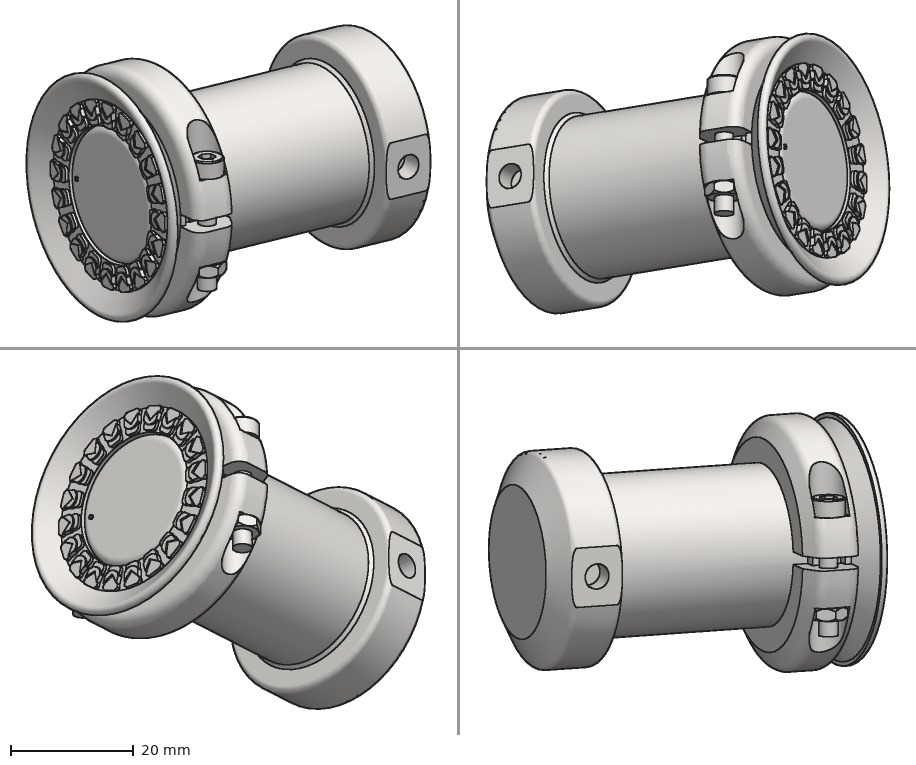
import cadquery as cq
import math

LENGTH = 56.85
BEVEL_ANGLE = math.radians(60)

TUBE_R = 26.85 / 2
NECK_R = 28.0 / 2
NECK_LENGTH = 0.6

RIM_R = 20.7
RIM_ROUND = 0.85
RIM_BACK = 1.2
DISH_ANGLE = math.radians(35)
FLARE_REACH = 21.15
FLOOR_R = 16.0
FLOOR_Y = 2.45
HUB_R = 23.2 / 2
HUB_ROUND = 1.35
DOT_D = 0.8
DOT_X = -9.5
DOT_DEPTH = 0.15

CLAMP_R = 21.0
CLAMP_FRONT = 4.85
CLAMP_BACK = 13.85
CLAMP_ROUND = 2.0
CLAMP_BEVEL_Y = 10.75
SPLIT_WIDTH = 2.1

LIP_R = FLARE_REACH - CLAMP_FRONT
LIP_END = 5.9
SEAM_END = 6.3
SEAL_R = 30.5 / 2
SEAL_END = 7.3
FLANGE_R = 31.0 / 2
FLANGE_END = 11.3

BOLT_X = 17.45
BOLT_Y = 9.3
SEAT_Z = 7.5
HEAD_D = 5.5
HEAD_HEIGHT = 2.95
HEAD_CHAMFER = 0.2
SOCKET_FLATS = 2.5
SOCKET_DEPTH = 1.4
SOCKET_TIP = 0.7
SHANK_D = 3.0
TAIL_D = 3.2
TAIL_Z = -12.35
NUT_FLATS = 5.5
NUT_HEIGHT = 2.1
NUT_CHAMFER = 0.45
POCKET_X = 16.8
POCKET_WIDTH = 5.8

CAP_R = 17.9
CAP_FRONT = 45.25
CAP_ROUND = 1.0
CAP_BEVEL_Y = 53.2
CAP_FLAT_X = 17.2
CAP_HOLE_D = 4.15
CAP_HOLE_Y = 49.75
CAP_HOLE_DEPTH = 4.0

PAD_COUNT = 20
PAD_INNER_R = 11.75
PAD_WIDTH = 2.65
PAD_CORNER = 0.7
PAD_HEIGHT = 0.55
CHEVRON_WIDTH = 2.95
CHEVRON_HEIGHT = 0.85
TIP_WIDTH = 3.4
TIP_CORNER = 0.5
TIP_HEIGHT = 0.55
TIP_SHOULDER_R = 14.85
TIP_APEX_R = 13.35
CHEVRON_SHOULDER_R = 13.45
CHEVRON_NOSE_R = 12.6


def revolve_y(profile):
    """Full revolution of an (r, y) outline about the Y axis."""
    return profile.close().revolve(360, (0, 0, 0), (0, 1, 0))


def cylinder_y(radius, start, end):
    return cq.Workplane("XZ", origin=(0, start, 0)).circle(radius).extrude(start - end)


def bevelled_ring(radius, front, back, edge_round, bevel_start):
    """Disc with a rounded front edge and a rounded, 60 degree bevelled rear edge."""
    diagonal = edge_round * (1 - math.sqrt(0.5))
    rounding_centre_r = radius - edge_round

    def on_rear_round(angle):
        r = rounding_centre_r + edge_round * math.cos(angle)
        return r, bevel_start + edge_round * math.sin(angle)

    bevel_r, bevel_y = on_rear_round(BEVEL_ANGLE)
    back_r = bevel_r - (back - bevel_y) * math.tan(BEVEL_ANGLE)
    return revolve_y(
        cq.Workplane("XY")
        .moveTo(0, front)
        .lineTo(rounding_centre_r, front)
        .threePointArc((radius - diagonal, front + diagonal), (radius, front + edge_round))
        .lineTo(radius, bevel_start)
        .threePointArc(on_rear_round(BEVEL_ANGLE / 2), (bevel_r, bevel_y))
        .lineTo(back_r, back)
        .lineTo(0, back)
    )


def make_dish():
    """Flared cup with a bead rim, flat floor and a hub ringed by a groove."""
    bead_r = RIM_R - RIM_ROUND
    bead_back_r = bead_r + math.sqrt(RIM_ROUND**2 - (RIM_BACK - RIM_ROUND) ** 2)
    bead_inner_r = bead_r - RIM_ROUND * math.sin(DISH_ANGLE)
    bead_inner_y = RIM_ROUND * (1 - math.cos(DISH_ANGLE))
    hub_flat_r = HUB_R - HUB_ROUND
    hub_diagonal = HUB_ROUND * (1 - math.sqrt(0.5))

    return revolve_y(
        cq.Workplane("XY")
        .moveTo(0, FLOOR_Y)
        .lineTo(hub_flat_r, FLOOR_Y)
        .threePointArc((HUB_R - hub_diagonal, FLOOR_Y + hub_diagonal), (HUB_R, FLOOR_Y + HUB_ROUND))
        .lineTo(HUB_R, FLOOR_Y)
        .lineTo(FLOOR_R, FLOOR_Y)
        .lineTo(bead_inner_r, bead_inner_y)
        .threePointArc((RIM_R, RIM_ROUND), (bead_back_r, RIM_BACK))
        .lineTo(FLARE_REACH - RIM_BACK, RIM_BACK)
        .lineTo(LIP_R, CLAMP_FRONT)
        .lineTo(LIP_R, LIP_END)
        .lineTo(0, LIP_END)
    )


def make_core():
    """Tube, tapered neck and the joint flanges."""
    core = cylinder_y(TUBE_R, LIP_END, CAP_FRONT)
    core = core.union(cylinder_y(SEAL_R, SEAM_END, SEAL_END))
    core = core.union(cylinder_y(FLANGE_R, SEAL_END, FLANGE_END))
    neck = revolve_y(
        cq.Workplane("XY")
        .moveTo(0, CAP_FRONT - NECK_LENGTH)
        .lineTo(TUBE_R, CAP_FRONT - NECK_LENGTH)
        .lineTo(NECK_R, CAP_FRONT)
        .lineTo(0, CAP_FRONT)
    )
    return core.union(neck)


def make_cap():
    cap = bevelled_ring(CAP_R, CAP_FRONT, LENGTH, CAP_ROUND, CAP_BEVEL_Y)
    flats = cq.Workplane("XY").box(2 * CAP_FLAT_X, 2 * LENGTH, 2 * CAP_R)
    cap = cap.intersect(flats)
    for side in (-1, 1):
        face = cq.Plane((side * CAP_FLAT_X, CAP_HOLE_Y, 0), (0, 1, 0), (side, 0, 0))
        cap = cap.cut(cq.Workplane(face).circle(CAP_HOLE_D / 2).extrude(-CAP_HOLE_DEPTH))
    return cap


def bolt_pocket(side, end):
    """Round-ended pocket, open outwards, above (end = 1) or below (end = -1) a bolt seat."""
    plane = cq.Workplane("XY", origin=(side * POCKET_X, BOLT_Y, end * SEAT_Z))
    depth = end * (CLAMP_R - SEAT_Z)
    run_out = CLAMP_R - POCKET_X
    round_end = plane.circle(POCKET_WIDTH / 2).extrude(depth)
    opening = plane.center(side * run_out / 2, 0).rect(run_out, POCKET_WIDTH).extrude(depth)
    return round_end.union(opening)


def make_clamp():
    clamp = bevelled_ring(CLAMP_R, CLAMP_FRONT, CLAMP_BACK, CLAMP_ROUND, CLAMP_BEVEL_Y)
    clamp = clamp.cut(cq.Workplane("XY").box(2 * CLAMP_R, LENGTH, SPLIT_WIDTH))
    for side in (-1, 1):
        for end in (-1, 1):
            clamp = clamp.cut(bolt_pocket(side, end))
    return clamp


def make_bolt(side):
    """Socket-head bolt with its hexagonal nut."""
    def section(z):
        return cq.Workplane("XY", origin=(side * BOLT_X, BOLT_Y, z))

    head_top = SEAT_Z + HEAD_HEIGHT
    corner_ratio = 2 / math.sqrt(3)
    socket_d = SOCKET_FLATS * corner_ratio
    nut_d = NUT_FLATS * corner_ratio
    head = section(SEAT_Z).circle(HEAD_D / 2).extrude(HEAD_HEIGHT).faces(">Z").chamfer(HEAD_CHAMFER)
    socket = section(head_top).polygon(6, socket_d).extrude(-SOCKET_DEPTH)
    drill_tip = cq.Solid.makeCone(
        0, socket_d * SOCKET_DEPTH / SOCKET_TIP / 2, SOCKET_DEPTH,
        pnt=cq.Vector(side * BOLT_X, BOLT_Y, head_top - SOCKET_DEPTH), dir=cq.Vector(0, 0, 1),
    )
    head = head.cut(socket.intersect(cq.Workplane(drill_tip)))
    shank = section(-SEAT_Z).circle(SHANK_D / 2).extrude(2 * SEAT_Z)
    tail = section(TAIL_Z).circle(TAIL_D / 2).extrude(-SEAT_Z - TAIL_Z)
    nut = section(-SEAT_Z).polygon(6, nut_d).extrude(-NUT_HEIGHT)
    turned_blank = section(-SEAT_Z).circle(nut_d / 2).extrude(-NUT_HEIGHT).edges().chamfer(NUT_CHAMFER)
    nut = nut.intersect(turned_blank)
    return head.union(shank).union(tail).union(nut)


def make_pad():
    """One stepped pad on the dish floor, pointing from the cone towards the hub."""
    def floor():
        return cq.Workplane("XZ", origin=(0, FLOOR_Y, 0))

    half_chevron = CHEVRON_WIDTH / 2
    half_tip = TIP_WIDTH / 2
    length = TIP_SHOULDER_R - PAD_INNER_R
    pad = floor().center(0, PAD_INNER_R + length / 2).rect(PAD_WIDTH, length).extrude(PAD_HEIGHT)
    pad = pad.edges("|Y and <Z").fillet(PAD_CORNER)
    chevron = (
        floor()
        .moveTo(-half_chevron, TIP_SHOULDER_R)
        .lineTo(-half_chevron, CHEVRON_SHOULDER_R)
        .threePointArc((0, CHEVRON_NOSE_R), (half_chevron, CHEVRON_SHOULDER_R))
        .lineTo(half_chevron, TIP_SHOULDER_R)
        .lineTo(0, TIP_APEX_R)
        .close()
        .extrude(CHEVRON_HEIGHT)
    )
    tip = (
        floor()
        .moveTo(0, TIP_APEX_R)
        .lineTo(half_chevron, TIP_SHOULDER_R)
        .lineTo(half_tip, FLOOR_R - TIP_CORNER)
        .lineTo(half_tip - TIP_CORNER, FLOOR_R)
        .lineTo(TIP_CORNER - half_tip, FLOOR_R)
        .lineTo(-half_tip, FLOOR_R - TIP_CORNER)
        .lineTo(-half_chevron, TIP_SHOULDER_R)
        .close()
        .extrude(TIP_HEIGHT)
    )
    return pad.union(chevron).union(tip)


result = make_dish().union(make_core()).union(make_cap()).union(make_clamp())
for bolt_side in (-1, 1):
    result = result.union(make_bolt(bolt_side))

single_pad = make_pad()
for index in range(PAD_COUNT):
    angle = index * 360 / PAD_COUNT
    result = result.union(single_pad.rotate((0, 0, 0), (0, 1, 0), angle))

dot = cq.Workplane("XZ", origin=(DOT_X, FLOOR_Y, 0)).circle(DOT_D / 2).extrude(-DOT_DEPTH)
result = result.cut(dot)